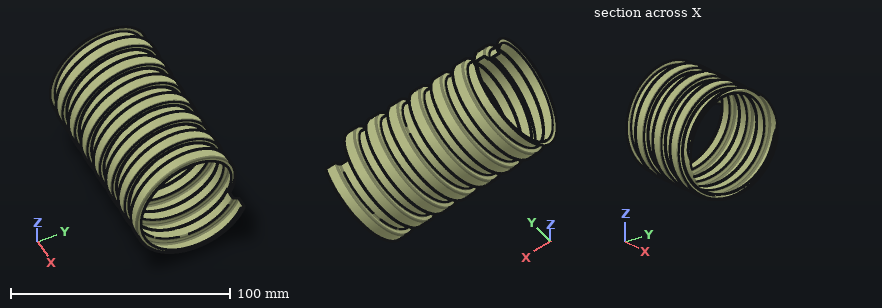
import cadquery as cq
import math

LENGTH = 100.0
OUTER_RADIUS = 54.2 / 2
INNER_RADIUS = 48.0 / 2
SHEET = 0.35
WALL_LEAN = 10.0
LIP_CLEARANCE = 0.05
FULL_TURNS = 7
MISSING_ANGLE = 18.0

INSIDE_BEND = SHEET
OUTSIDE_BEND = INSIDE_BEND + SHEET
MID_RADIUS = (INNER_RADIUS + OUTER_RADIUS) / 2
ROOT_LIP_TIP = OUTER_RADIUS - OUTSIDE_BEND
CREST_LIP_TIP = INNER_RADIUS + OUTSIDE_BEND
WALL_SLOPE = math.tan(math.radians(WALL_LEAN))
WALL = SHEET / math.cos(math.radians(WALL_LEAN))

LIP_OVERLAP = 2 * WALL + LIP_CLEARANCE + WALL_SLOPE * (ROOT_LIP_TIP - CREST_LIP_TIP)
TURNS = FULL_TURNS - MISSING_ANGLE / 360
PITCH = (LENGTH - LIP_OVERLAP) / (TURNS + 1)
STRIP_WIDTH = PITCH + LIP_OVERLAP


def lip_point(radius, offset, bend):
    """Corner on the root lip, which leans outward from the strip towards its tip."""
    return radius, offset + WALL_SLOPE * (ROOT_LIP_TIP - radius), bend


def riser_point(radius, bend):
    """Corner on the crest side of the riser, which leans towards the crest."""
    return radius, (STRIP_WIDTH + WALL) / 2 + WALL_SLOPE * (radius - MID_RADIUS), bend


def opposite(corner):
    """The S is unchanged by half a turn about its centre."""
    radius, axial, bend = corner
    return 2 * MID_RADIUS - radius, STRIP_WIDTH - axial, bend


def strip_corners():
    """Corners of the S section as (radius, axial position, bend radius), in order."""
    root_lip_inside = lip_point(INNER_RADIUS + SHEET, WALL, INSIDE_BEND)
    root_half = [
        lip_point(ROOT_LIP_TIP, WALL, 0),
        lip_point(ROOT_LIP_TIP, 0, 0),
        lip_point(INNER_RADIUS, 0, OUTSIDE_BEND),
        riser_point(INNER_RADIUS, OUTSIDE_BEND),
        riser_point(OUTER_RADIUS - SHEET, INSIDE_BEND),
        opposite(root_lip_inside),
    ]
    return root_half + [opposite(corner) for corner in root_half]


def unit_step(start, end):
    """Unit vector from one corner towards another."""
    return cq.Vector(end[0] - start[0], end[1] - start[1]).normalized()


def strip_section():
    """Closed section of the strip, with its corners bent to their radii."""
    corners = strip_corners()
    section = cq.Workplane("XZ").moveTo(*corners[0][:2])
    for index in range(1, len(corners)):
        radius, axial, bend = corners[index]
        if bend == 0:
            section = section.lineTo(radius, axial)
            continue
        corner = cq.Vector(radius, axial)
        to_previous = unit_step(corners[index], corners[index - 1])
        to_next = unit_step(corners[index], corners[(index + 1) % len(corners)])
        half_angle = to_previous.getAngle(to_next) / 2
        tangent_length = bend / math.tan(half_angle)
        middle_distance = bend / math.sin(half_angle) - bend
        bend_start = corner + to_previous * tangent_length
        bend_middle = corner + (to_previous + to_next).normalized() * middle_distance
        bend_end = corner + to_next * tangent_length
        section = section.lineTo(bend_start.x, bend_start.y)
        section = section.threePointArc((bend_middle.x, bend_middle.y), (bend_end.x, bend_end.y))
    return section.close()


def coiled_strip():
    """Strip wound right-handed around Z, starting on the +X side."""
    helix = cq.Wire.makeHelix(PITCH, PITCH * TURNS, INNER_RADIUS)
    return strip_section().sweep(cq.Workplane(helix), isFrenet=True)


result = (
    coiled_strip()
    .rotate((0, 0, 0), (1, 1, 1), 120)
    .translate((-LENGTH / 2, 0, 0))
)